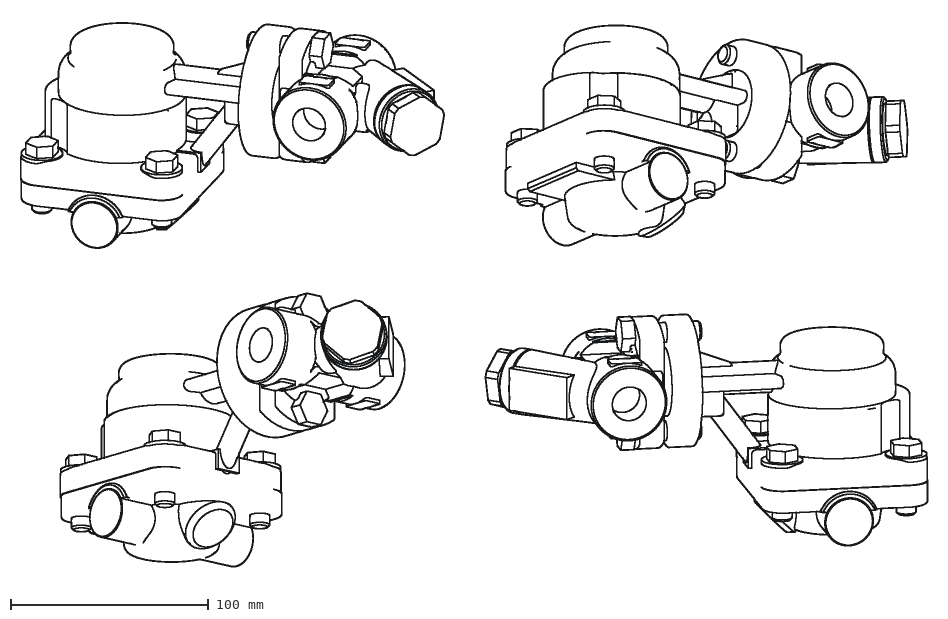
import cadquery as cq
import math


FLANGE_SIDE = 85.5
FLANGE_TOP = 13.2
FLANGE_ROUND = 2.2
PAD_TOP = 13.8
PAD_RADIUS = 10.5
CORNER_RADIUS = 10.7
BASE_BOTTOM = -11.6
BASE_SHIFT = 0.7
EDGE_ROUND = 1.3

TRAP_HEAD_FLATS = 14.5
CLAMP_HEAD_FLATS = 16.0
HEAD_HEIGHT = 6.1
BOLT_DIAMETER = 10.0
BOLT_CHAMFER = 1.0

BODY_RADIUS = 33.3
BODY_X = -0.9
BODY_TOP = 39.0
LOBE_RADIUS = 25.9
LOBE_X = -13.8
BOLT_CLEARANCE_RADIUS = 13.0
DOME_RADIUS = 32.2
DOME_SHOULDER = 49.8
NECK_RADIUS = 27.5
NECK_BOTTOM = 57.7
CAP_BOTTOM = 62.3
CAP_RADIUS = 26.3
CAP_TOP = 68.0
CAP_ROUND = 4.2

PORT_RADIUS = 12.5
PORT_Z = -17.0
PORT_HALF_LENGTH = 44.5
PORT_CHAMFER = 0.5
PORT_COLLAR_RADIUS = 15.5
PORT_COLLAR_HALF_LENGTH = 44.0
PORT_COLLAR_CHAMFER = 1.0

ARM_Z = 49.3
TUBE_DIAMETER = 16.0
WEB_THICKNESS = 6.5
WEB_WIDTH = 31.5

DISC_RADIUS = 33.5
DISC_START = 73.2
DISC_END = 86.0
HUB_RADIUS = 17.5
HUB_START = 71.5
VALVE_FLANGE_START = 90.3
VALVE_FLANGE_END = 103.0
VALVE_FLANGE_WIDTH = 40.0
VALVE_NECK_RADIUS = 22.5
VALVE_NECK_START = 91.2
VALVE_NECK_END = 105.3
CLAMP_OFFSET = 25.7
CLAMP_TIP = 68.0
CLAMP_HEAD_HEIGHT = 6.8

VALVE_X = 113.0
VALVE_Y = 2.0
VALVE_RADIUS = 19.5
VALVE_LENGTH = 80.7
VALVE_BORE = 17.5
VALVE_BORE_DEPTH = 17.5

BOLT_OFFSET = FLANGE_SIDE / 2 - CORNER_RADIUS
CORNERS = [(sx * BOLT_OFFSET, sy * BOLT_OFFSET) for sx in (-1, 1) for sy in (-1, 1)]


def cylinder(start, direction, radius, length):
    """Round bar from a start point along a direction."""
    return cq.Workplane(cq.Solid.makeCylinder(radius, length, cq.Vector(*start), cq.Vector(*direction)))


def block(x_range, y_range, z_range):
    """Box given by its lower and upper limit on each axis."""
    sizes = [high - low for low, high in (x_range, y_range, z_range)]
    return cq.Workplane("XY").box(*sizes, centered=False).translate((x_range[0], y_range[0], z_range[0]))


def make_cover():
    cover = cq.Workplane("XY").rect(FLANGE_SIDE, FLANGE_SIDE).extrude(FLANGE_TOP)
    cover = cover.edges("|Z").fillet(CORNER_RADIUS).faces(">Z").edges().fillet(FLANGE_ROUND)
    pads = cq.Workplane("XY").pushPoints(CORNERS).circle(PAD_RADIUS).extrude(PAD_TOP)

    body_start = FLANGE_TOP / 2
    body_height = BODY_TOP - body_start
    body = cylinder((BODY_X, 0, body_start), (0, 0, 1), BODY_RADIUS, body_height)
    body = body.faces(">Z").edges().fillet(EDGE_ROUND)
    lobe = cylinder((LOBE_X, 0, body_start), (0, 0, 1), LOBE_RADIUS, body_height)
    lobe = lobe.faces(">Z").edges().fillet(EDGE_ROUND)

    body = body.union(lobe)
    for side in (-1, 1):
        corner = (-BOLT_OFFSET, side * BOLT_OFFSET, FLANGE_TOP)
        body = body.cut(cylinder(corner, (0, 0, 1), BOLT_CLEARANCE_RADIUS, BODY_TOP))

    dome_arc_radius = math.hypot(DOME_RADIUS - NECK_RADIUS, NECK_BOTTOM - DOME_SHOULDER)
    dome = (
        cq.Workplane("XZ")
        .moveTo(0, 0)
        .lineTo(DOME_RADIUS, 0)
        .lineTo(DOME_RADIUS, DOME_SHOULDER)
        .radiusArc((NECK_RADIUS, NECK_BOTTOM), -dome_arc_radius)
        .radiusArc((CAP_RADIUS, CAP_BOTTOM), CAP_BOTTOM - NECK_BOTTOM)
        .lineTo(CAP_RADIUS, CAP_TOP - CAP_ROUND)
        .radiusArc((CAP_RADIUS - CAP_ROUND, CAP_TOP), -CAP_ROUND)
        .lineTo(0, CAP_TOP)
        .close()
        .revolve(360, (0, 0, 0), (0, 1, 0))
    )
    return cover.union(pads).union(body).union(dome)


SUMP_RADIUS = 23.7
SUMP_BOTTOM = -29.5
SUMP_TAPER = 8
SUMP_ROUND = 4.0
SUMP_LEDGE_X = -40.3
SUMP_LEDGE_Y = 20.2
SUMP_LEDGE_BOTTOM = -15.8
PLUG_RADIUS = 14.3
PLUG_FACE_X = 31.8
PLUG_FACE_Z = -23.7
PLUG_LENGTH = 17.5
PLUG_CHAMFER = 2.9


def make_base():
    base = cq.Workplane("XY").rect(FLANGE_SIDE, FLANGE_SIDE).extrude(BASE_BOTTOM)
    base = base.edges("|Z").fillet(CORNER_RADIUS).faces("<Z").edges().fillet(EDGE_ROUND)

    sump = (
        cq.Workplane("XY", origin=(0, 0, SUMP_BOTTOM))
        .circle(SUMP_RADIUS)
        .extrude(-SUMP_BOTTOM, taper=-SUMP_TAPER)
        .faces("<Z").edges().fillet(SUMP_ROUND)
    )
    ledge = block((SUMP_LEDGE_X, 0), (-SUMP_LEDGE_Y, SUMP_LEDGE_Y), (SUMP_LEDGE_BOTTOM, 0))
    ledge = ledge.edges("<X and <Z").chamfer(EDGE_ROUND)
    ports = cylinder((0, -PORT_HALF_LENGTH, PORT_Z), (0, 1, 0), PORT_RADIUS, 2 * PORT_HALF_LENGTH)
    ports = ports.faces("<Y or >Y").edges().chamfer(PORT_CHAMFER)
    collar = cylinder(
        (0, -PORT_COLLAR_HALF_LENGTH, PORT_Z), (0, 1, 0), PORT_COLLAR_RADIUS, 2 * PORT_COLLAR_HALF_LENGTH
    )
    collar = collar.faces("<Y or >Y").edges().chamfer(PORT_COLLAR_CHAMFER)
    above_bottom = block((-FLANGE_SIDE, FLANGE_SIDE), (-FLANGE_SIDE, FLANGE_SIDE), (BASE_BOTTOM, 0))
    collar = collar.intersect(above_bottom)
    plug = (
        cq.Workplane(cq.Plane((PLUG_FACE_X, 0, PLUG_FACE_Z), (0, 1, 0), (-1, 0, 1)))
        .circle(PLUG_RADIUS)
        .extrude(PLUG_LENGTH)
        .faces(cq.selectors.DirectionMinMaxSelector(cq.Vector(1, 0, -1))).edges().chamfer(PLUG_CHAMFER)
    )
    below_joint = block((-FLANGE_SIDE, FLANGE_SIDE), (-FLANGE_SIDE, FLANGE_SIDE), (-FLANGE_SIDE, 0))
    base = base.union(sump).union(ledge).union(ports).union(collar).union(plug.intersect(below_joint))
    return base.translate((0, BASE_SHIFT, 0))


TRAP_BOLT_TIP = -17.5
HEX_CORNER_RATIO = 2 / math.sqrt(3)


def make_trap_bolts():
    hexagon = cq.Workplane("XY", origin=(0, 0, PAD_TOP)).polygon(6, TRAP_HEAD_FLATS * HEX_CORNER_RATIO)
    head = hexagon.extrude(HEAD_HEIGHT).rotate((0, 0, 0), (0, 0, 1), 30)
    shank = cylinder((0, 0, TRAP_BOLT_TIP), (0, 0, 1), BOLT_DIAMETER / 2, PAD_TOP - TRAP_BOLT_TIP)
    bolt = shank.faces("<Z").edges().chamfer(BOLT_CHAMFER).union(head)
    bolts = cq.Workplane("XY")
    for x, y in CORNERS:
        bolts = bolts.add(bolt.translate((x, y, 0)).val())
    return bolts


def make_clamp_bolts():
    head = (
        cq.Workplane("YZ", origin=(VALVE_FLANGE_END, 0, 0))
        .polygon(6, CLAMP_HEAD_FLATS * HEX_CORNER_RATIO)
        .extrude(CLAMP_HEAD_HEIGHT)
    )
    shank = cylinder((CLAMP_TIP, 0, 0), (1, 0, 0), BOLT_DIAMETER / 2, VALVE_FLANGE_END - CLAMP_TIP)
    bolt = shank.faces("<X").edges().chamfer(BOLT_CHAMFER).union(head)
    bolts = cq.Workplane("XY")
    for side in (-1, 1):
        bolts = bolts.add(bolt.translate((0, 0, ARM_Z + side * CLAMP_OFFSET)).val())
    return bolts


ARM_START = 22.0
RIB_THICKNESS = 6.5
RIB_START = 52.2
RIB_RISE = 15.3
RIB_ROUND = 1.0
GUSSET_START = 57.0
GUSSET_HALF_WIDTH = 8.0
GUSSET_BOTTOM = 31.5
GUSSET_ROUND = 1.8
RETURN_RADIUS = 5.7
RETURN_TOP = (62.5, 39.5)
RETURN_BOTTOM = (36.2, 3.3)
LUG_END = 44.5
LUG_HALF_WIDTH = 7.0
LUG_BOTTOM = 3.7
LUG_TOP = 14.0


def make_arm():
    length = HUB_START - ARM_START
    tube = cylinder((ARM_START, 0, ARM_Z), (1, 0, 0), TUBE_DIAMETER / 2, length)
    webs = (
        cq.Workplane("YZ", origin=(ARM_START, 0, ARM_Z))
        .slot2D(WEB_WIDTH, WEB_THICKNESS)
        .extrude(length)
    )
    rib = (
        cq.Workplane("XZ", origin=(0, RIB_THICKNESS / 2, ARM_Z))
        .moveTo(RIB_START, 0)
        .lineTo(RIB_START, TUBE_DIAMETER / 2)
        .lineTo(HUB_START, RIB_RISE)
        .lineTo(HUB_START, 0)
        .close()
        .extrude(RIB_THICKNESS)
        .faces(">Z").edges("not |Y").fillet(RIB_ROUND)
    )
    gusset = block((GUSSET_START, HUB_START), (-GUSSET_HALF_WIDTH, GUSSET_HALF_WIDTH), (GUSSET_BOTTOM, ARM_Z))
    gusset = gusset.faces("<Z or <X").edges("not >X").edges("not >Z").fillet(GUSSET_ROUND)

    run = RETURN_TOP[0] - RETURN_BOTTOM[0]
    rise = RETURN_TOP[1] - RETURN_BOTTOM[1]
    return_pipe = cylinder(
        (RETURN_BOTTOM[0], 0, RETURN_BOTTOM[1]), (run, 0, rise), RETURN_RADIUS, math.hypot(run, rise)
    )
    lug = block((0, LUG_END), (-LUG_HALF_WIDTH, LUG_HALF_WIDTH), (LUG_BOTTOM, LUG_TOP))
    return tube.union(webs).union(rib).union(gusset).union(return_pipe).union(lug)


def make_connector():
    axis = (1, 0, 0)
    hub = cylinder((HUB_START, 0, ARM_Z), axis, HUB_RADIUS, VALVE_FLANGE_END - HUB_START)
    hub = hub.faces("<X").edges().fillet(EDGE_ROUND)
    disc = cylinder((DISC_START, 0, ARM_Z), axis, DISC_RADIUS, DISC_END - DISC_START)
    disc = disc.edges().fillet(EDGE_ROUND / 2)
    valve_flange = cylinder(
        (VALVE_FLANGE_START, 0, ARM_Z), axis, DISC_RADIUS, VALVE_FLANGE_END - VALVE_FLANGE_START
    )
    half_width = VALVE_FLANGE_WIDTH / 2
    valve_flange = valve_flange.intersect(
        block((VALVE_FLANGE_START, VALVE_FLANGE_END), (-half_width, half_width), (-DISC_RADIUS, 3 * DISC_RADIUS))
    )
    valve_flange = valve_flange.edges("|X").fillet(EDGE_ROUND).faces("<X").edges().fillet(EDGE_ROUND)
    neck = cylinder((VALVE_NECK_START, 0, ARM_Z), axis, VALVE_NECK_RADIUS, VALVE_NECK_END - VALVE_NECK_START)
    neck = neck.edges().fillet(EDGE_ROUND)
    return hub.union(disc).union(valve_flange).union(neck)


CORE_HALF_WIDTH = 17.3
CORE_HALF_HEIGHT = 18.2
CORE_END = 129.4
CHANNEL_FLOOR_HALF_WIDTH = 11.8
CHANNEL_TOP_HALF_WIDTH = 15.1
CHANNEL_FLOOR_HEIGHT = 13.0
KNUCKLE_RADIUS = 12.3
KNUCKLE_Y = -7.0
KNUCKLE_END = 135.0
CORE_ROUND = 2.2
HUB_CHAMFER = 0.9
WRENCH_PAD_LENGTH = 16.0
WRENCH_PAD_WIDTH = 10.0
WRENCH_PAD_INSET = 6.8
WRENCH_PAD_ROUND = 1.3


def make_valve():
    half_length = VALVE_LENGTH / 2
    y_limits = (VALVE_Y - half_length, VALVE_Y + half_length)
    hubs = cylinder((VALVE_X, y_limits[0], ARM_Z), (0, 1, 0), VALVE_RADIUS, VALVE_LENGTH)
    hubs = hubs.faces("<Y or >Y").edges().chamfer(HUB_CHAMFER)
    core = block(
        (VALVE_FLANGE_START, CORE_END),
        (-CORE_HALF_WIDTH, CORE_HALF_WIDTH),
        (ARM_Z - CORE_HALF_HEIGHT, ARM_Z + CORE_HALF_HEIGHT),
    )
    core = core.faces(">X").edges("|Z").fillet(CORE_ROUND)
    core_round = cylinder((VALVE_X, -CORE_HALF_WIDTH, ARM_Z), (0, 1, 0), VALVE_RADIUS, 2 * CORE_HALF_WIDTH)
    core_front = block(
        (VALVE_FLANGE_START, VALVE_X),
        (-CORE_HALF_WIDTH, CORE_HALF_WIDTH),
        (ARM_Z - CORE_HALF_HEIGHT, ARM_Z + CORE_HALF_HEIGHT),
    )
    core = core.intersect(core_round.union(core_front))
    hubs = hubs.cut(
        block(
            (VALVE_X - VALVE_RADIUS, VALVE_X + VALVE_RADIUS),
            (-CORE_HALF_WIDTH, CORE_HALF_WIDTH),
            (ARM_Z - VALVE_RADIUS, ARM_Z + VALVE_RADIUS),
        )
    )
    for side in (-1, 1):
        channel = (
            cq.Workplane("YZ", origin=(VALVE_FLANGE_END, 0, ARM_Z))
            .moveTo(-CHANNEL_FLOOR_HALF_WIDTH, side * CHANNEL_FLOOR_HEIGHT)
            .lineTo(CHANNEL_FLOOR_HALF_WIDTH, side * CHANNEL_FLOOR_HEIGHT)
            .lineTo(CHANNEL_TOP_HALF_WIDTH, side * CORE_HALF_HEIGHT)
            .lineTo(-CHANNEL_TOP_HALF_WIDTH, side * CORE_HALF_HEIGHT)
            .close()
            .extrude(CORE_END - VALVE_FLANGE_END)
        )
        core = core.cut(channel)
    knuckle = cylinder((VALVE_X, KNUCKLE_Y, ARM_Z), (1, 0, 0), KNUCKLE_RADIUS, KNUCKLE_END - VALVE_X)
    knuckle = knuckle.faces(">X").edges().fillet(EDGE_ROUND)

    pad_reach = half_length - WRENCH_PAD_INSET - WRENCH_PAD_WIDTH / 2
    pads = (
        cq.Workplane("XY", origin=(VALVE_X, VALVE_Y, ARM_Z - VALVE_RADIUS))
        .pushPoints([(0, -pad_reach), (0, pad_reach)])
        .rect(WRENCH_PAD_LENGTH, WRENCH_PAD_WIDTH)
        .extrude(2 * VALVE_RADIUS)
        .edges("|Z").fillet(WRENCH_PAD_ROUND)
    )
    return hubs.union(core).union(knuckle).union(pads)


def make_valve_bores():
    half_length = VALVE_LENGTH / 2
    bores = cq.Workplane("XY")
    for side in (-1, 1):
        start = (VALVE_X, VALVE_Y + side * half_length, ARM_Z)
        bores = bores.add(cylinder(start, (0, -side, 0), VALVE_BORE / 2, VALVE_BORE_DEPTH).val())
    return bores


STRAINER_ORIGIN = 71.3
BRANCH_START = 68.0
BRANCH_START_RADIUS = 15.0
BRANCH_END = 117.3
BRANCH_RADIUS = 16.7
COLLAR_END = 124.5
COLLAR_CHAMFER = 0.9
CAP_NECK_RADIUS = 13.2
CAP_HEX_START = 126.0
CAP_HEX_END = 133.5
CAP_HEX_FLATS = 28.5
CAP_RIM_RADIUS = 15.5
CAP_HEX_TURN = 19
STRIP_START = 82.2
STRIP_HEIGHT = 17.5
STRIP_WIDTH = 22.0


def strainer_plane(distance):
    """Plane across the strainer axis; local X points sideways to (+X, +Y), local Y up."""
    step = distance / math.sqrt(2)
    origin = (STRAINER_ORIGIN + step, STRAINER_ORIGIN - step, ARM_Z)
    return cq.Plane(origin, (1, 1, 0), (1, -1, 0))


def make_strainer():
    start = strainer_plane(BRANCH_START)
    length = BRANCH_END - BRANCH_START
    branch = cq.Workplane(
        cq.Solid.makeCone(BRANCH_START_RADIUS, BRANCH_RADIUS, length, start.origin, start.zDir)
    )
    collar = cq.Workplane(strainer_plane(BRANCH_END)).circle(BRANCH_RADIUS).extrude(COLLAR_END - BRANCH_END)
    collar = collar.edges().chamfer(COLLAR_CHAMFER)
    neck = cq.Workplane(strainer_plane(BRANCH_END)).circle(CAP_NECK_RADIUS).extrude(CAP_HEX_START - BRANCH_END)
    cap = (
        cq.Workplane(strainer_plane(CAP_HEX_START))
        .transformed(rotate=(0, 0, CAP_HEX_TURN))
        .polygon(6, CAP_HEX_FLATS * HEX_CORNER_RATIO)
        .extrude(CAP_HEX_END - CAP_HEX_START)
    )
    rim = cq.Workplane(strainer_plane(CAP_HEX_START)).circle(CAP_RIM_RADIUS).extrude(CAP_HEX_END - CAP_HEX_START)
    cap = cap.intersect(rim)
    strip = (
        cq.Workplane(strainer_plane(STRIP_START))
        .center(STRIP_HEIGHT / 2, 0)
        .rect(STRIP_HEIGHT, STRIP_WIDTH)
        .extrude(BRANCH_END - STRIP_START)
    )
    return branch.union(collar).union(neck).union(cap).union(strip)


result = make_cover().union(make_base())
for feature in (make_trap_bolts(), make_arm(), make_connector(), make_clamp_bolts(), make_valve(), make_strainer()):
    for solid in feature.vals():
        result = result.union(cq.Workplane(solid))
for bore in make_valve_bores().vals():
    result = result.cut(cq.Workplane(bore))